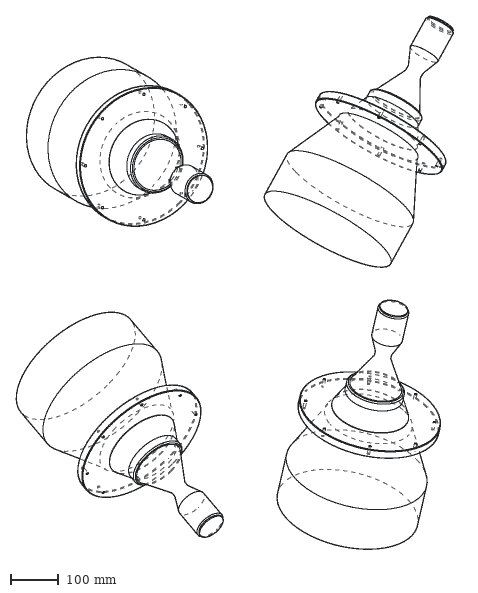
import cadquery as cq

drum_radius = 150.0
flange_radius = drum_radius
shoulder_radius = 93.5
flange_exit_radius = 82.0
collar_radius = 61.5
nose_cone_radius = 55.0
neck_radius = 17.5
tip_radius = 33.0
tip_bevel_radius = 31.5
end_cap_radius = 30.0

drum_end = 99.5
shoulder_start = 223.0
flange_start = 227.5
flange_end = 246.0
exit_cone_start = 247.0
collar_start = 288.0
collar_end = 308.0
neck_start = 381.0
neck_end = 393.5
tip_start = 431.0
tip_end = 499.5
tip_bevel_end = 501.0
end_cap_start = 502.0
total_length = 505.0

flange_chamfer = 1.5
collar_chamfer = 3.0
neck_blend_radius = 6.0
shoulder_blend_radius = 8.0

bolt_count = 8
bolt_circle_radius = 137.0
bolt_hole_diameter = 5.0


def make_body():
    """Revolve the half profile, given as (x, radius), about the X axis."""
    profile = [
        (0, 0),
        (0, drum_radius),
        (drum_end, drum_radius),
        (shoulder_start, shoulder_radius),
        (flange_start, shoulder_radius),
        (flange_start, flange_radius - flange_chamfer),
        (flange_start + flange_chamfer, flange_radius),
        (flange_end - flange_chamfer, flange_radius),
        (flange_end, flange_radius - flange_chamfer),
        (flange_end, flange_exit_radius),
        (exit_cone_start, flange_exit_radius),
        (collar_start, collar_radius),
        (collar_end - collar_chamfer, collar_radius),
        (collar_end, collar_radius - collar_chamfer),
        (collar_end, nose_cone_radius),
        (neck_start, neck_radius),
        (neck_end, neck_radius),
        (tip_start, tip_radius),
        (tip_end, tip_radius),
        (tip_bevel_end, tip_bevel_radius),
        (end_cap_start, end_cap_radius),
        (total_length, end_cap_radius),
        (total_length, 0),
    ]
    half_section = cq.Workplane("XZ").polyline(profile).close()
    return half_section.revolve(360, (0, 0, 0), (1, 0, 0))


def edges_at(body, station, radius):
    """Select the circular edges of one radius at one X station."""
    margin = 0.05
    reach = radius + margin
    box = cq.selectors.BoxSelector(
        (station - margin, -reach, -reach),
        (station + margin, reach, reach),
        boundingbox=True,
    )
    return body.edges(box)


def blend_neck(body):
    """Round the two concave edges where the cones meet the neck."""
    for station in (neck_start, neck_end):
        body = edges_at(body, station, neck_radius).fillet(neck_blend_radius)
    return body


def blend_shoulder(body):
    """Round the concave edge where the large cone meets the shoulder."""
    return edges_at(body, shoulder_start, shoulder_radius).fillet(shoulder_blend_radius)


def make_bolt_holes():
    """Ring of cylinders passing through the flange."""
    return (
        cq.Workplane("YZ", origin=(flange_start, 0, 0))
        .polarArray(bolt_circle_radius, 0, 360, bolt_count)
        .circle(bolt_hole_diameter / 2)
        .extrude(flange_end - flange_start)
    )


body = blend_shoulder(blend_neck(make_body()))
result = body.cut(make_bolt_holes())